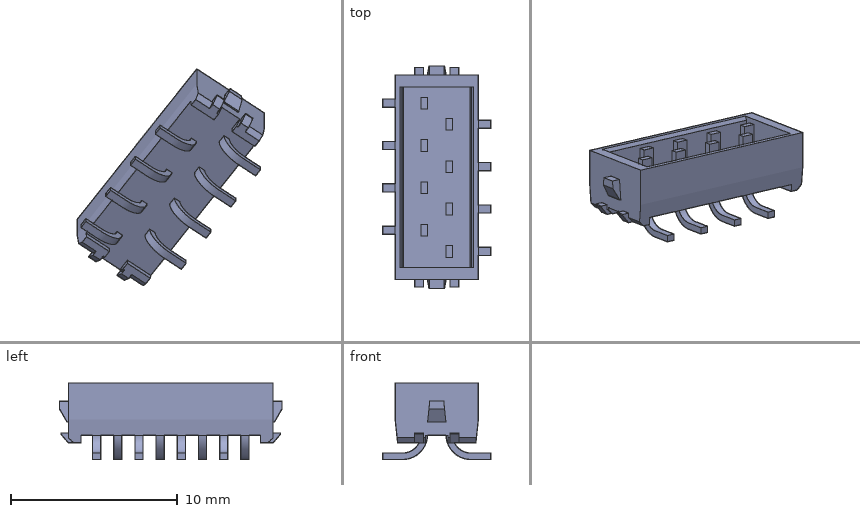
import cadquery as cq

PITCH = 1.27
CONTACT_COUNT = 8
ROW_OFFSET = 0.75
STRIP = 0.4
PIN_WIDTH = 0.7
LEAD_WIDTH = 0.5
LEAD_SPAN = 6.5
PIN_TOP = 4.6
BEND_OUTER_RADIUS = 1.5

BODY_WIDTH = 5.0
BODY_LENGTH = 12.28
BODY_TOP = 4.6
BODY_BOTTOM = 1.45
FOOT_BOTTOM = 1.0
FOOT_BOTTOM_WIDTH = 4.7
TAPER_TOP = 2.4
FOOT_LENGTH = 0.77
FOOT_GAP = 1.34
FOOT_CHAMFER = 0.32

CAVITY_LENGTH = 10.83
CAVITY_MOUTH_WIDTH = 4.4
CAVITY_NECK_WIDTH = 4.14
CAVITY_FLOOR_WIDTH = 4.0
CAVITY_FLOOR = 2.8
MOUTH_BEVEL_DEPTH = 0.23

TOTAL_LENGTH = 13.34
LATCH_TOP = 3.5
LATCH_BREAK = 3.03
LATCH_BOTTOM = 2.25
LATCH_TOP_WIDTH = 0.84
LATCH_BOTTOM_WIDTH = 1.1
LATCH_LIP = 0.08

PEG_OFFSET = 1.05
PEG_WIDTH = 0.54
PEG_TOP = 1.61
PEG_TIP_HEIGHT = 0.08
PEG_REACH = 0.45

HALF_LENGTH = BODY_LENGTH / 2
EMBED = FOOT_CHAMFER


def extrude_along_y(points, length):
    """Prism with an XZ outline, centred on Y = 0."""
    return cq.Workplane("XZ").polyline(points).close().extrude(length / 2, both=True)


def extrude_along_x(points, width):
    """Prism with a YZ outline, centred on X = 0."""
    return cq.Workplane("YZ").polyline(points).close().extrude(width / 2, both=True)


def both_ends(feature):
    """Feature at the +Y end together with its copy at the -Y end."""
    return feature.union(feature.mirror("XZ"))


def symmetric_outline(right_side):
    """Closed outline from points on the +X side and their mirror images."""
    left_side = [(-x, z) for x, z in reversed(right_side)]
    return right_side + left_side


def housing_block():
    cross_section = symmetric_outline([
        (FOOT_BOTTOM_WIDTH / 2, FOOT_BOTTOM),
        (BODY_WIDTH / 2, TAPER_TOP),
        (BODY_WIDTH / 2, BODY_TOP),
    ])
    side_profile = symmetric_outline([
        (HALF_LENGTH - FOOT_LENGTH, BODY_BOTTOM),
        (HALF_LENGTH - FOOT_LENGTH, FOOT_BOTTOM),
        (HALF_LENGTH - FOOT_CHAMFER, FOOT_BOTTOM),
        (HALF_LENGTH, FOOT_BOTTOM + FOOT_CHAMFER),
        (HALF_LENGTH, BODY_TOP),
    ])
    block = extrude_along_y(cross_section, BODY_LENGTH)
    block = block.intersect(extrude_along_x(side_profile, BODY_WIDTH))
    gap = cq.Workplane("XY").box(FOOT_GAP, BODY_LENGTH, BODY_BOTTOM, centered=(True, True, False))
    return block.cut(gap)


def cavity():
    return extrude_along_y(symmetric_outline([
        (CAVITY_FLOOR_WIDTH / 2, CAVITY_FLOOR),
        (CAVITY_NECK_WIDTH / 2, BODY_TOP - MOUTH_BEVEL_DEPTH),
        (CAVITY_MOUTH_WIDTH / 2, BODY_TOP),
    ]), CAVITY_LENGTH)


def latch():
    """Wedge-shaped latch at the +Y end, narrower towards the top."""
    profile = extrude_along_x([
        (HALF_LENGTH - EMBED, LATCH_BOTTOM),
        (HALF_LENGTH + LATCH_LIP, LATCH_BOTTOM),
        (TOTAL_LENGTH / 2, LATCH_BREAK),
        (TOTAL_LENGTH / 2, LATCH_TOP),
        (HALF_LENGTH - EMBED, LATCH_TOP),
    ], LATCH_BOTTOM_WIDTH)
    face = extrude_along_y(symmetric_outline([
        (LATCH_BOTTOM_WIDTH / 2, LATCH_BOTTOM),
        (LATCH_TOP_WIDTH / 2, LATCH_TOP),
    ]), TOTAL_LENGTH)
    return profile.intersect(face)


def peg(x):
    """Small pointed peg at the +Y end, at the given X."""
    return extrude_along_x([
        (HALF_LENGTH - EMBED, FOOT_BOTTOM),
        (HALF_LENGTH, FOOT_BOTTOM),
        (HALF_LENGTH + PEG_REACH, PEG_TOP - PEG_TIP_HEIGHT),
        (HALF_LENGTH + PEG_REACH, PEG_TOP),
        (HALF_LENGTH - EMBED, PEG_TOP),
    ], PEG_WIDTH).translate((x, 0, 0))


def contact():
    """Contact of the +X row at Y = 0: upright pin and outward-bent lead."""
    inner_x = ROW_OFFSET - STRIP / 2
    outer_x = ROW_OFFSET + STRIP / 2
    bend_x = inner_x + BEND_OUTER_RADIUS
    bend_z = BEND_OUTER_RADIUS
    tip_x = LEAD_SPAN / 2
    lead = (
        cq.Workplane("XZ")
        .moveTo(tip_x, 0)
        .lineTo(bend_x, 0)
        .radiusArc((inner_x, bend_z), BEND_OUTER_RADIUS)
        .lineTo(inner_x, CAVITY_FLOOR)
        .lineTo(outer_x, CAVITY_FLOOR)
        .lineTo(outer_x, bend_z)
        .radiusArc((bend_x, STRIP), -(BEND_OUTER_RADIUS - STRIP))
        .lineTo(tip_x, STRIP)
        .close()
        .extrude(LEAD_WIDTH / 2, both=True)
    )
    pin = (
        cq.Workplane("XY", origin=(ROW_OFFSET, 0, BODY_BOTTOM))
        .rect(STRIP, PIN_WIDTH)
        .extrude(PIN_TOP - BODY_BOTTOM)
    )
    return lead.union(pin)


result = housing_block().cut(cavity())
result = result.union(both_ends(latch()))
for side in (-1, 1):
    result = result.union(both_ends(peg(side * PEG_OFFSET)))

right_contact = contact()
left_contact = right_contact.mirror("YZ")
for index in range(CONTACT_COUNT):
    y = (index - (CONTACT_COUNT - 1) / 2) * PITCH
    row_contact = right_contact if index % 2 == 0 else left_contact
    result = result.union(row_contact.translate((0, y, 0)))